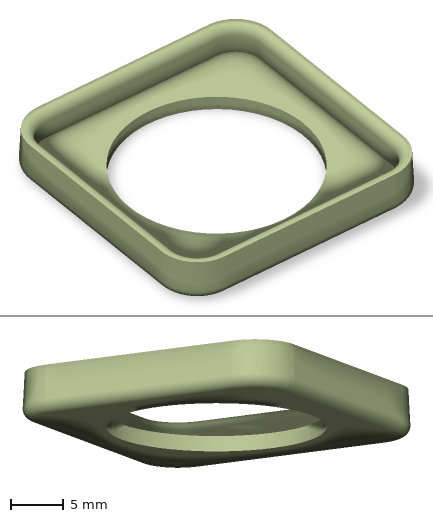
import cadquery as cq
import math

side = 29.4
height = 4.5
draft_angle = 3.0
bottom_round = 1.0

wall = 1.45
floor_thickness = 1.5
recess_corner_radius = 2.97
rim_round = 1.0
opening_diameter = 21.0

recess_side = side - 2 * wall
corner_radius = recess_corner_radius + wall

draft = math.radians(draft_angle)
base_overhang = bottom_round * (math.tan(draft) + 1 / math.cos(draft) - 1)


def rounded_square(width, radius):
    return cq.Sketch().rect(width, width).vertices().fillet(radius)


def make_body():
    base = rounded_square(side + 2 * base_overhang, corner_radius + base_overhang)
    body = cq.Workplane("XY").placeSketch(base).extrude(height, taper=draft_angle)
    return body.faces("<Z").edges().fillet(bottom_round)


def cut_recess(body):
    recess = (
        cq.Workplane("XY", origin=(0, 0, floor_thickness))
        .placeSketch(rounded_square(recess_side, recess_corner_radius))
        .extrude(height - floor_thickness)
    )
    hollow = body.cut(recess)
    inner_rim = hollow.faces(">Z").val().innerWires()[0]
    return hollow.newObject(inner_rim.Edges()).fillet(rim_round)


def cut_opening(body):
    opening = cq.Workplane("XY").circle(opening_diameter / 2).extrude(height)
    return body.cut(opening)


result = cut_opening(cut_recess(make_body()))